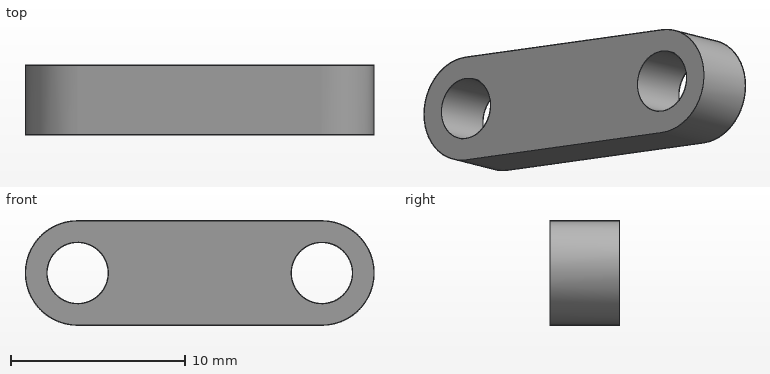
import cadquery as cq

length = 20.0
thickness = 4.0
height = 6.0
hole_diameter = 3.5

hole_spacing = length - height

plate = cq.Workplane("XZ").slot2D(length, height).extrude(thickness / 2, both=True)

result = (
    plate.faces("<Y")
    .workplane(origin=(0, 0, 0))
    .pushPoints([(-hole_spacing / 2, 0), (hole_spacing / 2, 0)])
    .hole(hole_diameter)
)